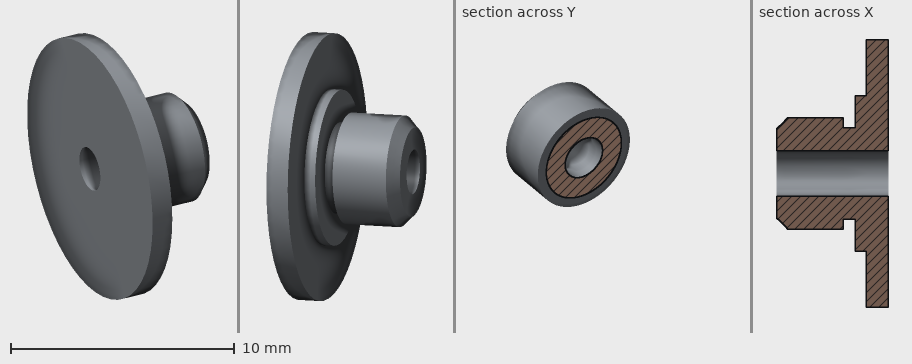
import cadquery as cq

flange_diameter = 12.0
flange_thickness = 1.0
shoulder_diameter = 7.0
shoulder_thickness = 0.5
neck_diameter = 4.1
neck_length = 0.5
plug_diameter = 5.0
plug_length = 3.0
plug_chamfer = 0.5
bore_diameter = 2.0

shoulder_start = flange_thickness
neck_start = shoulder_start + shoulder_thickness
plug_start = neck_start + neck_length
overall_length = plug_start + plug_length


def disc(diameter, start, length):
    """Cylinder along +Y from the given start."""
    plane = cq.Workplane("XZ", origin=(0, start, 0))
    return plane.circle(diameter / 2).extrude(-length)


flange = disc(flange_diameter, 0, flange_thickness)
shoulder = disc(shoulder_diameter, shoulder_start, shoulder_thickness)
neck = disc(neck_diameter, neck_start, neck_length)

plug = disc(plug_diameter, plug_start, plug_length).faces(">Y").chamfer(plug_chamfer)

bore = disc(bore_diameter, 0, overall_length)

result = flange.union(shoulder).union(neck).union(plug).cut(bore)